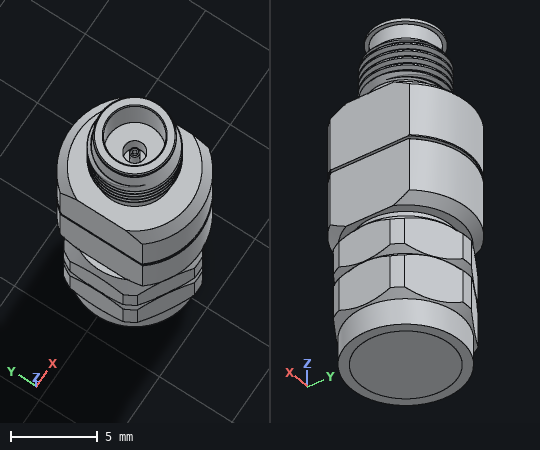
import cadquery as cq
import math


sleeve_top = 1.83
hex_split = 5.03
nut_top = 7.95
block_bottom = 8.61
block_top = 17.49
thread_bottom = 18.74
thread_top = 21.95
overall_height = 23.25

across_flats = 8.0
hex_half_step = 30
hex_corner_radius = 4.4
nut_face_radius = 3.7
sleeve_radius = 3.91
hex_groove_radius = 3.98

neck_radius = 3.25
block_radius = 4.5
block_chamfer = 0.62
block_width = 7.0
gap_width = 0.2
gap_radius = 2.8
gap_chamfer = 0.05
stem_radius = 2.39
pilot_radius = 2.11
rim_radius = 2.4
rim_height = 0.3
rim_chamfer = 0.08

thread_radius = 2.75
thread_pitch = 0.5
thread_depth = 0.25
groove_half_angle = 30
crest_width = 0.12
cutter_overreach = 0.1
thread_start = 18.29
thread_turns = 7.5

bore_radius = 1.8
bore_depth = 3.0
bore_chamfer = 0.07
line_radius = 0.69
line_depth = 1.5
contact_radius = 0.3
contact_chamfer = 0.08
contact_hole_radius = 0.13
contact_hole_depth = 1.0


def turned(profile):
    """Revolve a closed outline of (radius, height) points about Z, with the seam on the -Y side."""
    blank = cq.Workplane("XZ").polyline(profile).close().revolve(360, (0, 0, 0), (0, 1, 0))
    return blank.rotate((0, 0, 0), (0, 0, 1), -90)


def cylinder(radius, bottom, height):
    return cq.Workplane("XY").workplane(offset=bottom).circle(radius).extrude(height)


def make_coupling_nut():
    """Two chamfered hexagons in line above a round sleeve, bored for the adapter neck."""
    groove_drop = hex_corner_radius - hex_groove_radius
    turned_blank = turned([
        (neck_radius, sleeve_top),
        (sleeve_radius, sleeve_top),
        (hex_corner_radius, sleeve_top + hex_corner_radius - sleeve_radius),
        (hex_corner_radius, hex_split - groove_drop),
        (hex_groove_radius, hex_split),
        (hex_corner_radius, hex_split + groove_drop),
        (hex_corner_radius, nut_top - (hex_corner_radius - nut_face_radius)),
        (nut_face_radius, nut_top),
        (neck_radius, nut_top),
    ])
    hexagon = (
        cq.Workplane("XY")
        .workplane(offset=sleeve_top)
        .transformed(rotate=(0, 0, hex_half_step))
        .polygon(6, across_flats / math.cos(math.radians(hex_half_step)))
        .extrude(nut_top - sleeve_top)
    )
    sleeve = cylinder(sleeve_radius, 0, sleeve_top).cut(cylinder(neck_radius, 0, sleeve_top))
    return turned_blank.intersect(hexagon).union(sleeve)


def make_block():
    """Round block with chamfered ends, a groove at mid height and two flats."""
    middle = (block_bottom + block_top) / 2
    gap_bottom = middle - gap_width / 2
    gap_top = middle + gap_width / 2
    face_radius = block_radius - block_chamfer
    blank = turned([
        (0, block_bottom),
        (face_radius, block_bottom),
        (block_radius, block_bottom + block_chamfer),
        (block_radius, gap_bottom - gap_chamfer),
        (block_radius - gap_chamfer, gap_bottom),
        (gap_radius, gap_bottom),
        (gap_radius, gap_top),
        (block_radius - gap_chamfer, gap_top),
        (block_radius, gap_top + gap_chamfer),
        (block_radius, block_top - block_chamfer),
        (face_radius, block_top),
        (0, block_top),
    ])
    flats = (
        cq.Workplane("XY")
        .workplane(offset=block_bottom)
        .rect(block_width, 2 * block_radius)
        .extrude(block_top - block_bottom)
    )
    return blank.intersect(flats)


def make_thread_groove():
    """V-shaped cutter swept along the thread helix, reaching past the crests."""
    root_radius = thread_radius - thread_depth
    outer_radius = thread_radius + cutter_overreach
    flank_slope = math.tan(math.radians(groove_half_angle))
    crest_half_opening = (thread_pitch - crest_width) / 2
    root_half_width = crest_half_opening - thread_depth * flank_slope
    outer_half_width = root_half_width + (outer_radius - root_radius) * flank_slope
    helix = cq.Wire.makeHelix(
        thread_pitch, thread_pitch * thread_turns, root_radius, center=cq.Vector(0, 0, thread_start)
    )
    return (
        cq.Workplane("XZ")
        .polyline([
            (root_radius, thread_start - root_half_width),
            (outer_radius, thread_start - outer_half_width),
            (outer_radius, thread_start + outer_half_width),
            (root_radius, thread_start + root_half_width),
        ])
        .close()
        .sweep(cq.Workplane(helix), isFrenet=True)
    )


def make_port():
    """Stem, threaded barrel, pilot and rim of the female port."""
    blank = turned([
        (0, block_top),
        (stem_radius, block_top),
        (stem_radius, thread_bottom),
        (thread_radius, thread_bottom + thread_radius - stem_radius),
        (thread_radius, thread_top - (thread_radius - pilot_radius)),
        (pilot_radius, thread_top),
        (pilot_radius, overall_height - rim_height),
        (rim_radius, overall_height - rim_height),
        (rim_radius, overall_height - rim_chamfer),
        (rim_radius - rim_chamfer, overall_height),
        (0, overall_height),
    ])
    return blank.cut(make_thread_groove())


def make_port_bore():
    """Stepped bore that leaves the hollow centre contact standing in the coaxial line."""
    bore_floor = overall_height - bore_depth
    line_floor = bore_floor - line_depth
    return turned([
        (0, bore_floor - contact_hole_depth),
        (contact_hole_radius, bore_floor - contact_hole_depth),
        (contact_hole_radius, bore_floor),
        (contact_radius - contact_chamfer, bore_floor),
        (contact_radius, bore_floor - contact_chamfer),
        (contact_radius, line_floor),
        (line_radius, line_floor),
        (line_radius, bore_floor),
        (bore_radius, bore_floor),
        (bore_radius, overall_height - bore_chamfer),
        (bore_radius + bore_chamfer, overall_height),
        (0, overall_height),
    ])


def make_adapter():
    """Neck through the nut, block with flats and female port as one piece."""
    neck = cylinder(neck_radius, 0, block_bottom)
    return neck.union(make_block()).union(make_port()).cut(make_port_bore())


coupling_nut = make_coupling_nut()
adapter = make_adapter()

result = cq.Compound.makeCompound([*coupling_nut.solids().vals(), *adapter.solids().vals()])